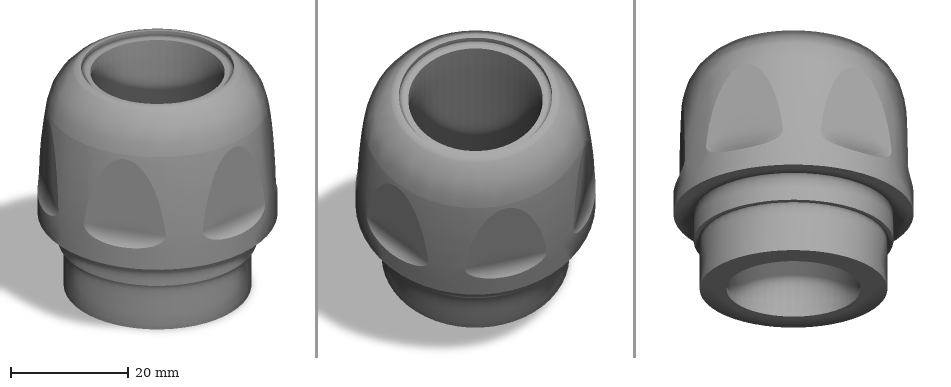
import cadquery as cq
import math

total_height = 42.15
collar_bottom = 9.0
skirt_bottom = 14.0
skirt_top = 16.05
dome_bottom = 35.0
dome_top = 41.87
mouth_floor = 41.25

spigot_radius = 16.02
collar_radius = 17.05
skirt_radius = 20.5
dome_bottom_radius = 18.95
dome_top_radius = 14.4
lip_outer_radius = 13.3
mouth_radius = 13.07
bore_radius = 11.45

flat_count = 6
flat_distance = 19.05
flat_bottom = 20.62
flat_runout_radius = 3.37


def wall_arc():
    """Return the middle of the wall arc and the direction in which it meets the dome.

    The wall arc is vertical where it leaves the skirt.
    """
    rise = dome_bottom - skirt_top
    inset = skirt_radius - dome_bottom_radius
    arc_radius = (rise**2 + inset**2) / (2 * inset)
    sweep = math.asin(rise / arc_radius)
    middle = (
        skirt_radius - arc_radius * (1 - math.cos(sweep / 2)),
        skirt_top + arc_radius * math.sin(sweep / 2),
    )
    end_direction = (-math.sin(sweep), math.cos(sweep))
    return middle, end_direction


def lip_middle():
    """Return the middle of the lip arc, which is level where it reaches the rim."""
    drop = total_height - dome_top
    width = dome_top_radius - lip_outer_radius
    arc_radius = (drop**2 + width**2) / (2 * drop)
    half_sweep = math.asin(width / arc_radius) / 2
    return (
        lip_outer_radius + arc_radius * math.sin(half_sweep),
        total_height - arc_radius * (1 - math.cos(half_sweep)),
    )


def turned_body():
    """Revolve the wall section: spigot, collar, skirt, dome, shallow mouth and bore."""
    wall_middle, dome_direction = wall_arc()
    dome_start = (dome_bottom_radius, dome_bottom)
    section = (
        cq.Workplane("XZ")
        .moveTo(bore_radius, 0)
        .lineTo(spigot_radius, 0)
        .lineTo(spigot_radius, collar_bottom)
        .lineTo(collar_radius, collar_bottom)
        .lineTo(collar_radius, skirt_bottom)
        .lineTo(skirt_radius, skirt_bottom)
        .lineTo(skirt_radius, skirt_top)
        .threePointArc(wall_middle, dome_start)
    )
    dome = cq.Edge.makeTangentArc(
        cq.Vector(dome_bottom_radius, 0, dome_bottom),
        cq.Vector(dome_direction[0], 0, dome_direction[1]),
        cq.Vector(dome_top_radius, 0, dome_top),
    )
    dome_middle = dome.positionAt(0.5)
    return (
        section.threePointArc((dome_middle.x, dome_middle.z), (dome_top_radius, dome_top))
        .threePointArc(lip_middle(), (lip_outer_radius, total_height))
        .lineTo(mouth_radius, total_height)
        .lineTo(mouth_radius, mouth_floor)
        .lineTo(bore_radius, mouth_floor)
        .close()
        .revolve(360, (0, 0, 0), (0, 1, 0))
    )


def flat_cutter():
    """Return a block on the +X side with a vertical face and a concave runout below it."""
    runout_end = flat_distance + flat_runout_radius
    runout_bottom = flat_bottom - flat_runout_radius
    diagonal = flat_runout_radius * math.sqrt(0.5)
    return (
        cq.Workplane("XZ")
        .moveTo(flat_distance, total_height)
        .lineTo(flat_distance, flat_bottom)
        .threePointArc((runout_end - diagonal, flat_bottom - diagonal), (runout_end, runout_bottom))
        .lineTo(runout_end, total_height)
        .close()
        .extrude(skirt_radius, both=True)
    )


result = turned_body()
flat_pitch = 360 / flat_count
for index in range(flat_count):
    angle = (index + 0.5) * flat_pitch
    result = result.cut(flat_cutter().rotate((0, 0, 0), (0, 0, 1), angle))